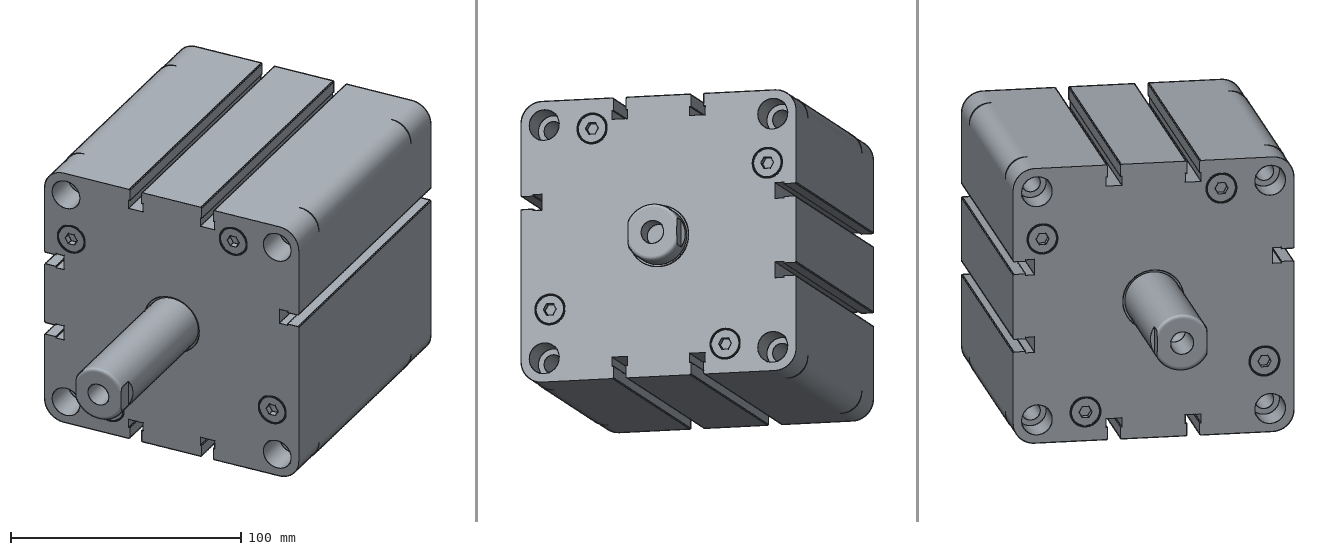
import cadquery as cq
import math


body_width = 124.0
body_length = 126.5
cover_length = 19.25
cover_corner_radius = 9.5
sleeve_corner_radius = 9.0
sleeve_length = body_length - 2 * cover_length
half_width = body_width / 2

slot_offset = 17.5
slot_depth = 9.5
slot_neck_depth = 5.5
slot_neck_width = 5.7
slot_inner_width = 7.0
slot_mouth_chamfer = 0.4
slot_sides = [
    (0, (-slot_offset, slot_offset)),
    (180, (-slot_offset, slot_offset)),
    (-90, (-slot_offset, slot_offset)),
    (90, (-slot_offset,)),
]

mount_offset = 51.5
mount_hole_diameter = 8.38
mount_bore_diameter = 13.5
mount_bore_depth = 15.0

screw_long_offset = 49.0
screw_short_offset = 30.0
screw_pocket_diameter = 13.5
screw_head_diameter = 12.5
screw_gap_depth = 1.0
socket_across_flats = 5.0
socket_sides = 6
socket_depth = 3.0
screw_count = 4

rod_diameter = 25.0
rod_front_length = 70.0
rod_rear_length = 10.0
rod_end_radius = 1.5
rod_bore_diameter = 10.11
rod_bore_depth = 20.0
drill_tip_angle = 118.0
rod_clearance_diameter = 27.0
rod_clearance_depth = 1.0

flat_width = 22.0
flat_length = 7.0

body_middle = body_length / 2
rod_front_end = -rod_front_length
rod_rear_end = body_length + rod_rear_length


def mirrored_to_rear(shape):
    """Copy a front cover feature onto the rear cover."""
    return shape.mirror("XZ", (0, body_middle, 0))


def rounded_block(start, length, corner_radius):
    """Square block along +Y with rounded long edges."""
    block = cq.Workplane("XY").box(body_width, length, body_width, centered=(True, False, True))
    return block.edges("|Y").fillet(corner_radius).translate((0, start, 0))


def cylinder(x, z, start, length, diameter):
    """Cylinder along +Y from y = start."""
    circle = cq.Workplane("XZ", origin=(x, start, z)).circle(diameter / 2)
    return circle.extrude(-length)


def tube(x, z, depth, outer_diameter, inner_diameter):
    """Ring shaped cutter sunk into the front face."""
    outer = cylinder(x, z, 0, depth, outer_diameter)
    return outer.cut(cylinder(x, z, 0, depth, inner_diameter))


def make_body():
    front_cover = rounded_block(0, cover_length, cover_corner_radius)
    sleeve = rounded_block(cover_length, sleeve_length, sleeve_corner_radius)
    return front_cover.union(sleeve).union(mirrored_to_rear(front_cover))


def slot_cutter(offset):
    """Slot in the top side, narrow at the neck and wider below."""
    neck = slot_neck_width / 2
    inner = slot_inner_width / 2
    mouth = neck + slot_mouth_chamfer
    neck_top = half_width - slot_mouth_chamfer
    neck_bottom = half_width - slot_neck_depth
    floor = half_width - slot_depth
    right_side = [
        (inner, floor),
        (inner, neck_bottom),
        (neck, neck_bottom),
        (neck, neck_top),
        (mouth, half_width),
    ]
    left_side = [(-x, z) for x, z in reversed(right_side)]
    outline = cq.Workplane("XZ").polyline(right_side + left_side).close()
    return outline.extrude(-body_length).translate((offset, 0, 0))


def cut_slots(body):
    for angle, offsets in slot_sides:
        for offset in offsets:
            body = body.cut(slot_cutter(offset).rotate((0, 0, 0), (0, 1, 0), angle))
    return body


def cut_mount_holes(body):
    for x in (-mount_offset, mount_offset):
        for z in (-mount_offset, mount_offset):
            bore = cylinder(x, z, 0, mount_bore_depth, mount_bore_diameter)
            body = body.cut(cylinder(x, z, 0, body_length, mount_hole_diameter))
            body = body.cut(bore).cut(mirrored_to_rear(bore))
    return body


def cut_cover_screws(body):
    """Ring gap around each flush screw head, and its hexagon socket."""
    socket_across_corners = socket_across_flats / math.cos(math.pi / socket_sides)
    x, z = screw_long_offset, -screw_short_offset
    for _ in range(screw_count):
        gap = tube(x, z, screw_gap_depth, screw_pocket_diameter, screw_head_diameter)
        hexagon = cq.Workplane("XZ", origin=(x, 0, z)).polygon(socket_sides, socket_across_corners)
        socket = hexagon.extrude(-socket_depth)
        for cutter in (gap, socket):
            body = body.cut(cutter).cut(mirrored_to_rear(cutter))
        x, z = -z, x
    return body


def cut_rod_clearance(body):
    ring = tube(0, 0, rod_clearance_depth, rod_clearance_diameter, rod_diameter)
    return body.cut(ring).cut(mirrored_to_rear(ring))


def flat_cutter():
    """Material beyond the flat on the +X side of the front rod end."""
    rod_radius = rod_diameter / 2
    flat_x = flat_width / 2
    flat_end = rod_front_end + flat_length
    outline = cq.Workplane("XY").polyline([
        (flat_x, rod_front_end),
        (flat_x, flat_end),
        (rod_radius, flat_end + rod_radius - flat_x),
        (rod_radius, rod_front_end),
    ]).close()
    return outline.extrude(rod_radius, both=True)


def rod_bore():
    """Drilled hole with a conical bottom in the front rod end."""
    radius = rod_bore_diameter / 2
    bore_end = rod_front_end + rod_bore_depth
    tip = bore_end + radius / math.tan(math.radians(drill_tip_angle / 2))
    half_section = cq.Workplane("XY").polyline([
        (0, rod_front_end),
        (radius, rod_front_end),
        (radius, bore_end),
        (0, tip),
    ]).close()
    return half_section.revolve(360, (0, 0, 0), (0, 1, 0))


def make_rod():
    rod_length = rod_rear_end - rod_front_end
    rod = cylinder(0, 0, rod_front_end, rod_length, rod_diameter)
    rod = rod.faces("<Y or >Y").edges().fillet(rod_end_radius)
    rod_middle = (0, (rod_front_end + rod_rear_end) / 2, 0)
    for cutter in (flat_cutter(), flat_cutter().mirror("YZ"), rod_bore()):
        rod = rod.cut(cutter).cut(cutter.mirror("XZ", rod_middle))
    return rod


body = make_body()
body = cut_slots(body)
body = cut_mount_holes(body)
body = cut_cover_screws(body)
body = cut_rod_clearance(body)
result = body.union(make_rod())